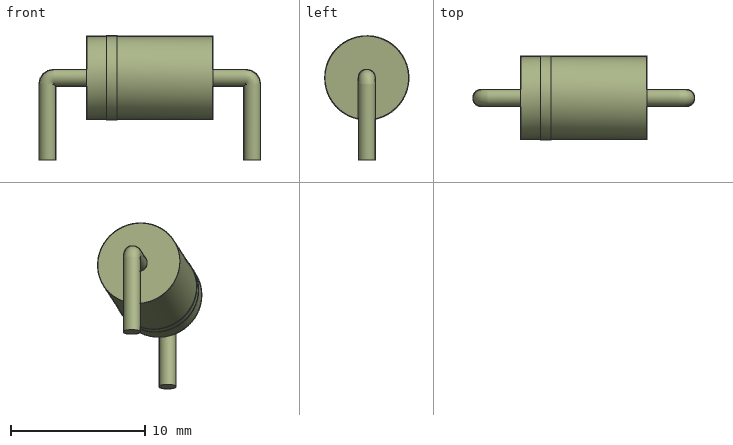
import cadquery as cq
import math

span = 16.51
body_length = 9.4
body_diameter = 6.22
band_diameter = 6.27
band_width = 0.8
band_offset = 1.49
lead_diameter = 1.27
bend_outer_radius = 1.12
total_height = 9.26

lead_radius = lead_diameter / 2
bend_radius = bend_outer_radius - lead_radius
leg_x = -span / 2 + lead_radius
bend_x = leg_x + bend_radius
body_start = -body_length / 2
leg_bottom = band_diameter / 2 - total_height


def cylinder_x(start, length, diameter):
    """Solid cylinder on the body axis, running from start toward +X."""
    return cq.Workplane("YZ", origin=(start, 0, 0)).circle(diameter / 2).extrude(length)


def make_bend():
    """Quarter turn of the lead section.

    The bend is tighter than the lead radius, so the section is cut off
    at the turning axis before it is revolved.
    """
    half_chord = math.sqrt(lead_radius**2 - bend_radius**2)
    return (
        cq.Workplane("XY", origin=(leg_x, 0, -bend_radius))
        .moveTo(bend_radius, -half_chord)
        .threePointArc((-lead_radius, 0), (bend_radius, half_chord))
        .close()
        .revolve(90, (bend_radius, 0), (bend_radius, 1))
    )


def make_lead():
    """Lead on the -X side: straight run, bend and downward leg."""
    straight = cylinder_x(bend_x, body_start - bend_x, lead_diameter)
    leg = (
        cq.Workplane("XY", origin=(leg_x, 0, leg_bottom))
        .circle(lead_radius)
        .extrude(-bend_radius - leg_bottom)
    )
    return straight.union(leg).union(make_bend())


body = cylinder_x(body_start, body_length, body_diameter)
band = cylinder_x(body_start + band_offset, band_width, band_diameter)
lead = make_lead()

result = body.union(band).union(lead).union(lead.mirror("YZ"))